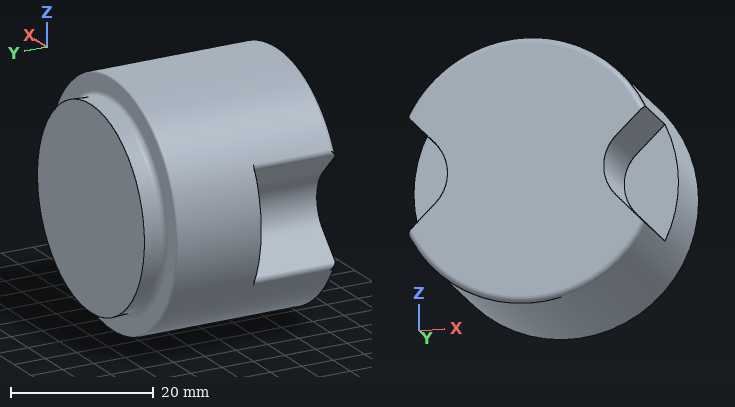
import cadquery as cq
import math

body_radius = 19.0
total_length = 30.0

spigot_length = 3.4
spigot_end_radius = 15.58
spigot_neck_radius = 15.4
neck_fillet = 0.95
shoulder_fillet = 0.38

slot_depth = 13.2
slot_bottom_radius = 6.05
slot_bottom_offset = 11.2
slot_half_angle = math.radians(45)
slot_reach = 22.8

front_fillet = 0.87

body_length = total_length - spigot_length


def make_body():
    """Revolve the body and spigot about the Y axis."""
    profile = (
        cq.Workplane("XY")
        .lineTo(body_radius, 0)
        .lineTo(body_radius, body_length)
        .lineTo(spigot_neck_radius, body_length)
        .lineTo(spigot_end_radius, total_length)
        .lineTo(0, total_length)
        .close()
    )
    body = profile.revolve(360, (0, 0, 0), (0, 1, 0))
    edge_size = 0.05
    for radius, fillet in ((spigot_neck_radius, neck_fillet), (body_radius, shoulder_fillet)):
        shoulder_edge = cq.selectors.BoxSelector(
            (-radius - edge_size, body_length - edge_size, -radius - edge_size),
            (radius + edge_size, body_length + edge_size, radius + edge_size),
            boundingbox=True,
        )
        body = body.edges(shoulder_edge).fillet(fillet)
    return body


def make_slot():
    """Slot on the +X side, widening outward from its rounded bottom."""
    arc_center = slot_bottom_offset + slot_bottom_radius
    tangent_x = arc_center - slot_bottom_radius * math.sin(slot_half_angle)
    tangent_z = slot_bottom_radius * math.cos(slot_half_angle)
    mouth_z = tangent_z + (slot_reach - tangent_x) * math.tan(slot_half_angle)
    return (
        cq.Workplane("XZ")
        .moveTo(slot_reach, -mouth_z)
        .lineTo(tangent_x, -tangent_z)
        .threePointArc((slot_bottom_offset, 0), (tangent_x, tangent_z))
        .lineTo(slot_reach, mouth_z)
        .close()
        .extrude(-slot_depth)
    )


def round_front_edges(part):
    """Round the outer rim of the front face and the long slot edges together."""
    front_rim = part.faces("<Y").edges("%CIRCLE").edges(">Z or <Z")
    slot_edges = part.edges("|Y").edges(">X or <X")
    return part.newObject(front_rim.vals() + slot_edges.vals()).fillet(front_fillet)


slot = make_slot()
result = make_body().cut(slot).cut(slot.mirror("YZ"))
result = round_front_edges(result)